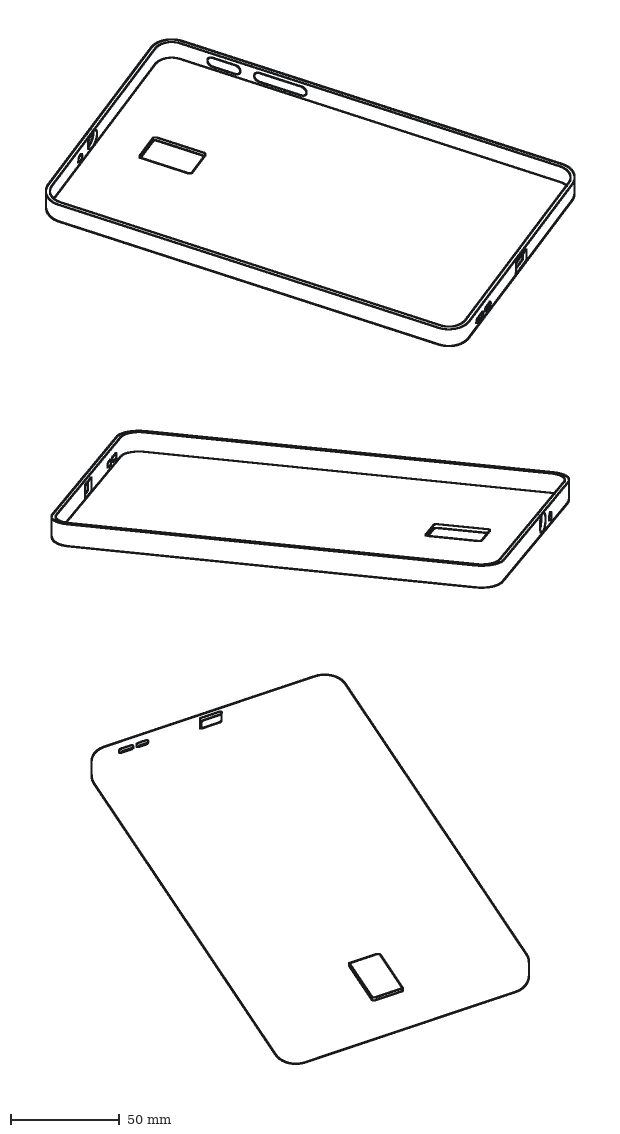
import cadquery as cq

length = 216.0
width = 128.0
height = 11.5
wall = 2.0
floor = 2.0
corner_radius = 10.5
bottom_fillet = 2.2

window_length = 26.8
window_width = 16.0
window_x = -70.6
window_corner_radius = 1.3

large_hole_diameter = 9.3
large_hole_y = -11.2
large_hole_z = 6.7
small_hole_diameter = 4.0
small_hole_y = -24.0
small_hole_z = 5.2

port_width = 11.0
port_height = 7.0
port_y = 0.5
port_z = 5.6
port_corner_radius = 0.9
speaker_slot_height = 2.5
speaker_slot_z = 5.2
speaker_slot_centers_and_lengths = ((-34.3, 6.0), (-42.5, 7.3))

button_height = 5.5
button_z = 6.3
button_depth = 0.1
button_centers_and_lengths = ((-75.0, 16.8), (-46.0, 26.8))


def make_tray():
    outer = (
        cq.Workplane("XY")
        .rect(length, width)
        .extrude(height)
        .edges("|Z")
        .fillet(corner_radius)
        .faces("<Z")
        .edges()
        .fillet(bottom_fillet)
    )
    cavity = (
        cq.Workplane("XY", origin=(0, 0, floor))
        .rect(length - 2 * wall, width - 2 * wall)
        .extrude(height)
        .edges("|Z")
        .fillet(corner_radius - wall)
    )
    return outer.cut(cavity)


def make_window():
    return (
        cq.Workplane("XY", origin=(window_x, 0, 0))
        .rect(window_length, window_width)
        .extrude(floor)
        .edges("|Z")
        .fillet(window_corner_radius)
    )


def make_round_hole(y, z, diameter):
    """Cylinder along X through the -X wall."""
    return cq.Workplane("YZ", origin=(-length / 2, y, z)).circle(diameter / 2).extrude(wall)


def make_port():
    return (
        cq.Workplane("YZ", origin=(length / 2 - wall, port_y, port_z))
        .rect(port_width, port_height)
        .extrude(wall)
        .edges("|X")
        .fillet(port_corner_radius)
    )


def make_speaker_slot(y, slot_length):
    return (
        cq.Workplane("YZ", origin=(length / 2 - wall, y, speaker_slot_z))
        .slot2D(slot_length, speaker_slot_height)
        .extrude(wall)
    )


def make_button_recess(x, slot_length):
    """Round-ended pocket cut outward from the inner face of the +Y wall."""
    return (
        cq.Workplane("XZ", origin=(x, width / 2 - wall, button_z))
        .slot2D(slot_length, button_height)
        .extrude(-button_depth)
    )


result = make_tray().cut(make_window())
result = result.cut(make_round_hole(large_hole_y, large_hole_z, large_hole_diameter))
result = result.cut(make_round_hole(small_hole_y, small_hole_z, small_hole_diameter))
result = result.cut(make_port())
for speaker_y, speaker_length in speaker_slot_centers_and_lengths:
    result = result.cut(make_speaker_slot(speaker_y, speaker_length))
for button_x, button_length in button_centers_and_lengths:
    result = result.cut(make_button_recess(button_x, button_length))